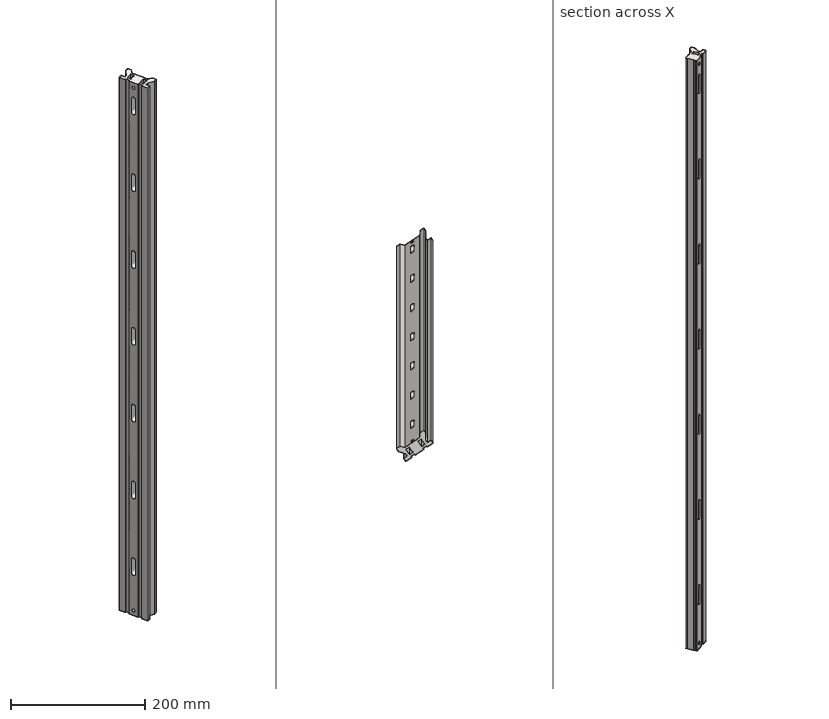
import cadquery as cq

WIDTH = 50.0
DEPTH = 24.5
LENGTH = 1020.0

HALF_WIDTH = WIDTH / 2
HALF_DEPTH = DEPTH / 2

GROOVE_FLOOR_X = 18.5
GROOVE_HALF_HEIGHT = 6.5
GROOVE_FLOOR_BACK_Y = -1.75

LIP_INNER_X = GROOVE_FLOOR_X
LIP_SLOPE_RUN = 5.0
WEB_BACK_Y = 6.5

CHAMBER_INNER_X = 8.0
CHAMBER_OUTER_X = 14.0
CHAMBER_BACK_Y = 3.0
CHAMBER_FRONT_Y = -6.5
CHANNEL_DEPTH = 2.0
CHANNEL_FLOOR_Y = -HALF_DEPTH + CHANNEL_DEPTH

SLOT_COUNT = 7
SLOT_PITCH = 147.0
SLOT_WIDTH = 6.5
SLOT_LENGTH = 33.3
TOP_SLOT_MARGIN = 44.5

END_HOLE_DIAMETER = 5.0
END_HOLE_MARGIN = 10.0


def rail_bar():
    """Outer section with side grooves and front channels, extruded along Z."""
    right_half = [
        (0, -HALF_DEPTH),
        (CHAMBER_INNER_X, -HALF_DEPTH),
        (CHAMBER_INNER_X, CHANNEL_FLOOR_Y),
        (CHAMBER_OUTER_X, CHANNEL_FLOOR_Y),
        (CHAMBER_OUTER_X, -HALF_DEPTH),
        (HALF_WIDTH, -HALF_DEPTH),
        (HALF_WIDTH, -GROOVE_HALF_HEIGHT),
        (GROOVE_FLOOR_X, -GROOVE_HALF_HEIGHT),
        (GROOVE_FLOOR_X, GROOVE_FLOOR_BACK_Y),
        (HALF_WIDTH, GROOVE_HALF_HEIGHT),
        (HALF_WIDTH, HALF_DEPTH),
        (LIP_INNER_X, HALF_DEPTH),
        (LIP_INNER_X - LIP_SLOPE_RUN, WEB_BACK_Y),
        (0, WEB_BACK_Y),
    ]
    section = cq.Workplane("XY").polyline(right_half).mirrorY()
    return section.extrude(LENGTH).translate((0, 0, -LENGTH / 2))


def chambers():
    """Two full-length hollow chambers, one on each side of the slotted core."""
    chamber_x = (CHAMBER_INNER_X + CHAMBER_OUTER_X) / 2
    chamber_y = (CHAMBER_FRONT_Y + CHAMBER_BACK_Y) / 2
    return (
        cq.Workplane("XY")
        .pushPoints([(side * chamber_x, chamber_y) for side in (-1, 1)])
        .rect(CHAMBER_OUTER_X - CHAMBER_INNER_X, CHAMBER_BACK_Y - CHAMBER_FRONT_Y)
        .extrude(LENGTH / 2, both=True)
    )


def mounting_slots():
    """Row of round-ended slots, long along Z, passing through the core."""
    top_slot_z = LENGTH / 2 - TOP_SLOT_MARGIN
    centres = [(0, top_slot_z - i * SLOT_PITCH) for i in range(SLOT_COUNT)]
    return (
        cq.Workplane("XZ")
        .pushPoints(centres)
        .slot2D(SLOT_LENGTH, SLOT_WIDTH, angle=90)
        .extrude(HALF_DEPTH, both=True)
    )


def end_holes():
    """Small round hole through the core near each end."""
    hole_z = LENGTH / 2 - END_HOLE_MARGIN
    return (
        cq.Workplane("XZ")
        .pushPoints([(0, end * hole_z) for end in (-1, 1)])
        .circle(END_HOLE_DIAMETER / 2)
        .extrude(HALF_DEPTH, both=True)
    )


result = rail_bar().cut(chambers()).cut(mounting_slots()).cut(end_holes())